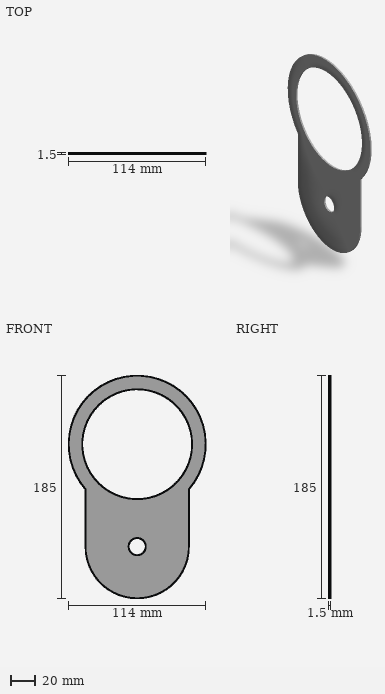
import cadquery as cq

overall_height = 185.0
thickness = 1.5
ring_outer_diameter = 114.0
ring_inner_diameter = 91.0
tab_width = 86.0
tab_hole_diameter = 14.0

ring_radius = ring_outer_diameter / 2
tab_end_radius = tab_width / 2
tab_end_z = -(overall_height - ring_radius - tab_end_radius)


def disc(diameter, center_z):
    """Flat disc facing -Y, centred through the plate thickness."""
    return (
        cq.Workplane("XZ")
        .center(0, center_z)
        .circle(diameter / 2)
        .extrude(thickness / 2, both=True)
    )


def tab():
    """Straight-sided tab from the ring centre to its full-round lower end."""
    return (
        cq.Workplane("XZ")
        .moveTo(-tab_end_radius, 0)
        .lineTo(-tab_end_radius, tab_end_z)
        .threePointArc((0, tab_end_z - tab_end_radius), (tab_end_radius, tab_end_z))
        .lineTo(tab_end_radius, 0)
        .close()
        .extrude(thickness / 2, both=True)
    )


plate = disc(ring_outer_diameter, 0).union(tab())

result = (
    plate
    .cut(disc(ring_inner_diameter, 0))
    .cut(disc(tab_hole_diameter, tab_end_z))
)